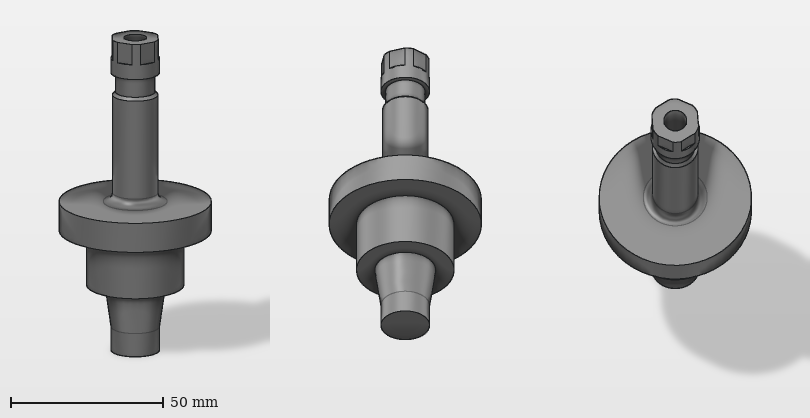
import cadquery as cq

tip_diameter = 16.0
taper_top_diameter = 20.0
boss_diameter = 32.0
flange_diameter = 50.0
shaft_diameter = 15.0
neck_diameter = 13.0
head_diameter = tip_diameter
bore_diameter = 7.5

taper_bottom_z = 8.0
taper_top_z = 22.4
boss_top_z = 41.0
flange_top_z = 51.0
shaft_top_z = 88.6
head_bottom_z = 95.1
overall_height = 107.1

root_fillet = 3.0
shaft_chamfer = (shaft_diameter - neck_diameter) / 2
flat_count = 6
flat_height = 7.0
across_flats = shaft_diameter
bore_depth = 15.0


def cylinder(diameter, bottom_z, top_z):
    """Solid cylinder on the Z axis between two heights."""
    return cq.Workplane("XY").workplane(offset=bottom_z).circle(diameter / 2).extrude(top_z - bottom_z)


def make_lower_end():
    """Cylindrical tip, tapered section, boss and flange."""
    tip = cylinder(tip_diameter, 0, taper_bottom_z)
    taper = (
        cq.Workplane("XY")
        .workplane(offset=taper_bottom_z)
        .circle(tip_diameter / 2)
        .workplane(offset=taper_top_z - taper_bottom_z)
        .circle(taper_top_diameter / 2)
        .loft(combine=True)
    )
    boss = cylinder(boss_diameter, taper_top_z, boss_top_z)
    flange = cylinder(flange_diameter, boss_top_z, flange_top_z)
    return tip.union(taper).union(boss).union(flange)


def make_shaft():
    """Half profile revolved into a shaft with a concave root fillet and a chamfered top."""
    radius = shaft_diameter / 2
    foot_z = boss_top_z
    fillet_outer = radius + root_fillet
    return (
        cq.Workplane("XZ")
        .moveTo(0, foot_z)
        .lineTo(fillet_outer, foot_z)
        .lineTo(fillet_outer, flange_top_z)
        .radiusArc((radius, flange_top_z + root_fillet), root_fillet)
        .lineTo(radius, shaft_top_z - shaft_chamfer)
        .lineTo(neck_diameter / 2, shaft_top_z)
        .lineTo(0, shaft_top_z)
        .close()
        .revolve(360, (0, 0), (0, 1))
    )


def make_head():
    """Round head with wrench flats around its upper part, two of them facing +X and -X."""
    flats_bottom_z = overall_height - flat_height
    collar = cylinder(head_diameter, head_bottom_z, flats_bottom_z)
    flatted = cylinder(head_diameter, flats_bottom_z, overall_height)
    for index in range(flat_count // 2):
        slab = (
            cq.Workplane("XY")
            .workplane(offset=flats_bottom_z)
            .rect(across_flats, 2 * head_diameter)
            .extrude(flat_height)
            .rotate((0, 0, 0), (0, 0, 1), index * 360 / flat_count)
        )
        flatted = flatted.intersect(slab)
    return collar.union(flatted)


neck = cylinder(neck_diameter, shaft_top_z, head_bottom_z)
bore = cylinder(bore_diameter, overall_height - bore_depth, overall_height)

result = make_lower_end().union(make_shaft()).union(neck).union(make_head()).cut(bore)